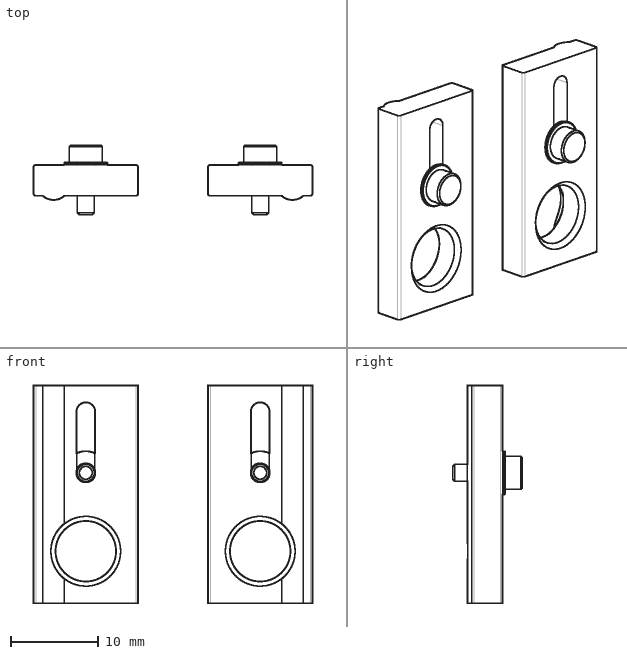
import cadquery as cq

overall_width = 32.0
plate_width = 12.0
plate_height = 25.0
plate_thickness = 3.55
plate_edge_fillet = 0.25
plate_center_x = (overall_width - plate_width) / 2

rib_width = 2.5
rib_height = 0.48
rib_edge_offset = 1.05

bore_diameter = 6.9
bore_mouth_diameter = 8.0
bore_chamfer = (bore_mouth_diameter - bore_diameter) / 2
bore_z = 6.0

slot_width = 2.1
slot_upper_z = plate_height - 3.0
screw_z = plate_height - 10.0

washer_diameter = 5.0
washer_hole_diameter = 2.2
washer_thickness = 0.3
washer_chamfer = 0.1

screw_length = 8.0
head_diameter = 3.8
head_height = 2.0
head_chamfer = 0.2
shank_diameter = 2.0
shank_chamfer = 0.25

front_y = -plate_thickness
head_seat_y = washer_thickness


def cylinder_along_y(diameter, start_y, length, z):
    """Cylinder on the plate's centre line, running from start_y toward -Y."""
    return cq.Workplane("XZ", origin=(0, start_y, z)).circle(diameter / 2).extrude(length)


def make_plate_blank():
    """Rectangular plate with its four upright edges rounded."""
    return (
        cq.Workplane("XY")
        .box(plate_width, plate_thickness, plate_height, centered=(True, False, False))
        .translate((0, front_y, 0))
        .edges("|Z")
        .fillet(plate_edge_fillet)
    )


def make_rib():
    """Circular-segment rib on the front face, on the -X side."""
    start_x = -plate_width / 2 + rib_edge_offset
    end_x = start_x + rib_width
    crest = ((start_x + end_x) / 2, front_y - rib_height)
    return (
        cq.Workplane("XY")
        .moveTo(start_x, front_y)
        .threePointArc(crest, (end_x, front_y))
        .close()
        .extrude(plate_height)
    )


def make_bore_cutter():
    """Through bore widened by a cone at each face; the front mouth also clears the rib."""
    radius = bore_diameter / 2
    mouth_radius = bore_mouth_diameter / 2
    return (
        cq.Workplane("XY")
        .moveTo(0, 0)
        .lineTo(mouth_radius, 0)
        .lineTo(radius, -bore_chamfer)
        .lineTo(radius, front_y + bore_chamfer)
        .lineTo(mouth_radius, front_y)
        .lineTo(mouth_radius, front_y - rib_height)
        .lineTo(0, front_y - rib_height)
        .close()
        .revolve(360, (0, 0, 0), (0, 1, 0))
        .translate((0, 0, bore_z))
    )


def make_slot_cutter():
    """Round-ended slot from the upper position down to the screw."""
    travel = slot_upper_z - screw_z
    return (
        cq.Workplane("XZ", origin=(0, 0, screw_z + travel / 2))
        .slot2D(travel + slot_width, slot_width, 90)
        .extrude(plate_thickness)
    )


def make_plate():
    """Plate with its rib on the -X side."""
    return make_plate_blank().union(make_rib()).cut(make_bore_cutter()).cut(make_slot_cutter())


def make_washer():
    """Flat washer on the back face, chamfered on the head side."""
    washer = cylinder_along_y(washer_diameter, head_seat_y, washer_thickness, screw_z)
    washer = washer.faces(">Y").edges().chamfer(washer_chamfer)
    return washer.cut(cylinder_along_y(washer_hole_diameter, head_seat_y, washer_thickness, screw_z))


def make_screw():
    """Cylinder-head screw pointing toward -Y."""
    head = cylinder_along_y(head_diameter, head_seat_y + head_height, head_height, screw_z)
    head = head.faces(">Y").edges().chamfer(head_chamfer)
    shank = cylinder_along_y(shank_diameter, head_seat_y, screw_length - head_height, screw_z)
    shank = shank.faces("<Y").edges().chamfer(shank_chamfer)
    return head.union(shank)


left_plate = make_plate()
plates = [
    left_plate.translate((-plate_center_x, 0, 0)),
    left_plate.mirror("YZ").translate((plate_center_x, 0, 0)),
]

washers = []
screws = []
for center_x in (-plate_center_x, plate_center_x):
    washers.append(make_washer().translate((center_x, 0, 0)))
    screws.append(make_screw().translate((center_x, 0, 0)))

result = cq.Compound.makeCompound([body.val() for body in plates + washers + screws])